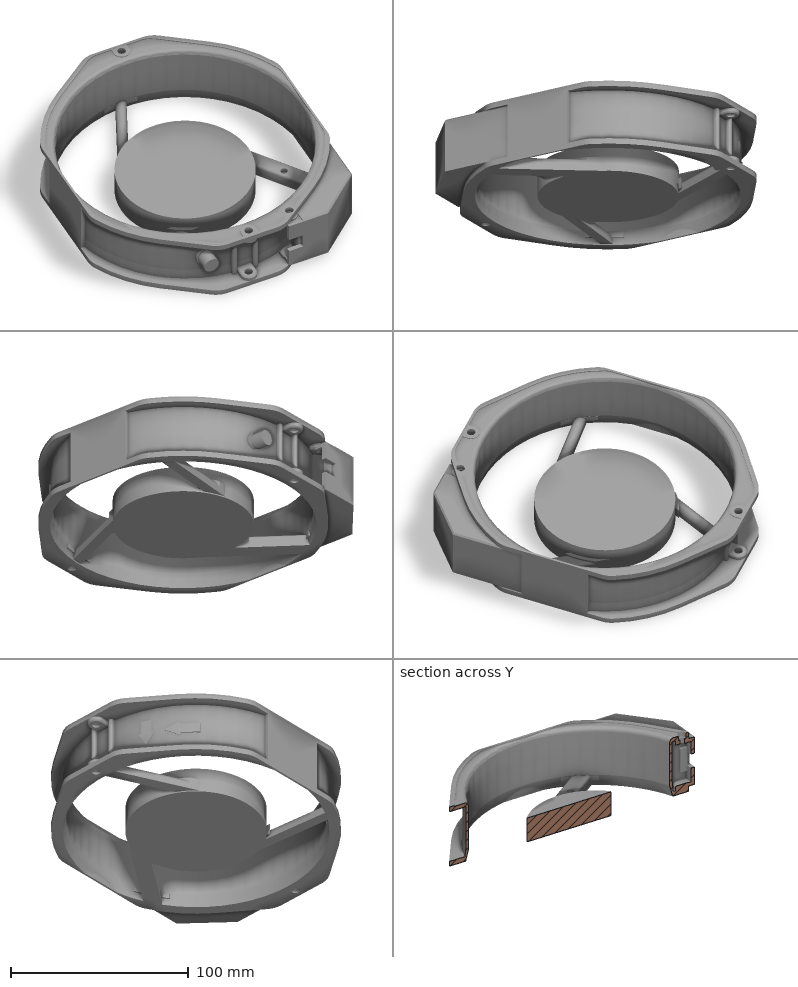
import cadquery as cq
import math

LENGTH = 172.0
WIDTH = 150.0
HEIGHT = 38.0
FLANGE_THICK = 3.3
SHOULDER_RADIUS = 81.5
SHOULDER_ANGLE = 36.0
CORNER_RADIUS = 15.0
TOP_FLANGE_Z = HEIGHT - FLANGE_THICK

BARREL_RADIUS = 75.0
BARREL_FOOT_RADIUS = 75.7
BARREL_FOOT_Z = 9.5
BORE_RADIUS = 73.1
LEAD_IN = 2.5
FLARE_RADIUS = 75.0
FLARE_Z = 7.4
SIDE_PAD_WIDTH = 39.9

RECESS_LENGTH = 168.9
RECESS_WIDTH = 147.5
RECESS_SHOULDER = 78.8
RECESS_CORNER = 13.5
RECESS_DEPTH = 0.5

SCREW_X = 81.2
SCREW_RADIUS = 2.4
BOSS_RADIUS = 4.8
BOSS_HEIGHT = 2.8
BOSS_CHAMFER = 0.7
RIB_RADIUS = 1.5
RIB_X = 76.2
RIB_Y = 6.5

GROUND_X = 76.2
GROUND_Y = 27.9
PILOT_RADIUS = 1.4

HUB_RADIUS = 39.7
HUB_HEIGHT = 15.5
COLLAR_RADIUS = 41.8
COLLAR_UNDERSIDE_Z = 2.0
COLLAR_TOP_Z = 8.3
SPOKE_ANGLE = 35.5
SPOKE_OFFSET = 34.2
SPOKE_HEIGHT = 7.2
WALL_OVERLAP = 0.2
SPOKE_REACH = FLARE_RADIUS + WALL_OVERLAP
ROD_WIDTH = 6.4
ROD_UNDERSIDE_Z = 0.7
CHANNEL_WIDTH = 10.0
CHANNEL_ROUND = 1.5
CHANNEL_HOLE_RADIUS = 2.0
CHANNEL_HOLE_ALONG = 45.4
CHANNEL_HOLE_SIDE = 1.2
CHANNEL_HOLE_DEPTH = 2.5
SPOKE_PAD_WIDTH = 19.0
SPOKE_PAD_UNDERSIDE_Z = 3.8
SPOKE_PAD_TOP_Z = 6.9

BOX_X = 84.5
BOX_Y = 74.1
BOX_BEVEL_X = 62.0
BOX_BEVEL_Y = 48.2
BOX_FRONT_Y = 32.5
BOX_CHAMFER = 0.9
CHEEK_FRONT_Y = 23.7
CHEEK_THICK = 2.5
CHEEK_GAP = 8.6
LEDGE_DROP = 0.9
LEDGE_THICK = 2.5

GLAND_RADIUS = 4.5
GLAND_ROOT_RADIUS = 5.3
GLAND_ROOT_END = 71.5
GLAND_END = 79.6
GLAND_Y = -22.4
GLAND_Z = 19.0
PLATE_INNER_X = 77.2
PLATE_HEIGHT = 15.1
PLATE_THICK = 1.7

ARROW_RAISE = 0.5
ARROW_SHAFT = 5.8
ARROW_HEAD = 9.1
ARROW_HEAD_LENGTH = 7.9
ARROW_LENGTH = 16.2
AIRFLOW_TIP_Y = -28.0
AIRFLOW_TIP_Z = 11.0
ROTATION_TIP_Y = -37.5
ROTATION_TIP_Z = 19.0


def cylinder(radius, z_low, z_high, x=0.0, y=0.0):
    return cq.Workplane("XY", origin=(x, y, z_low)).circle(radius).extrude(z_high - z_low)


def block(x_low, x_high, y_low, y_high, z_low, z_high):
    size = (x_high - x_low, y_high - y_low, z_high - z_low)
    return cq.Workplane("XY", origin=(x_low, y_low, z_low)).box(*size, centered=False)


def outline_prism(length, width, shoulder, corner, z_low, z_high):
    """Oval octagon: flat sides, tangent slopes and round shoulders, with rounded corners."""
    half_x = length / 2
    half_y = width / 2
    tangent = math.radians(SHOULDER_ANGLE)
    corner_y = (shoulder - half_x * math.cos(tangent)) / math.sin(tangent)
    tangent_x = shoulder * math.cos(tangent)
    tangent_y = shoulder * math.sin(tangent)
    flat_x = math.sqrt(shoulder**2 - half_y**2)
    middle = (tangent + math.asin(half_y / shoulder)) / 2
    middle_x = shoulder * math.cos(middle)
    middle_y = shoulder * math.sin(middle)
    profile = (
        cq.Workplane("XY", origin=(0, 0, z_low))
        .moveTo(half_x, -corner_y)
        .lineTo(half_x, corner_y)
        .lineTo(tangent_x, tangent_y)
        .threePointArc((middle_x, middle_y), (flat_x, half_y))
        .lineTo(-flat_x, half_y)
        .threePointArc((-middle_x, middle_y), (-tangent_x, tangent_y))
        .lineTo(-half_x, corner_y)
        .lineTo(-half_x, -corner_y)
        .lineTo(-tangent_x, -tangent_y)
        .threePointArc((-middle_x, -middle_y), (-flat_x, -half_y))
        .lineTo(flat_x, -half_y)
        .threePointArc((middle_x, -middle_y), (tangent_x, -tangent_y))
        .close()
    )
    prism = profile.extrude(z_high - z_low)
    corners = [(sx * half_x, sy * corner_y) for sx in (-1, 1) for sy in (-1, 1)]
    corners += [(sx * flat_x, sy * half_y) for sx in (-1, 1) for sy in (-1, 1)]
    middle_z = (z_low + z_high) / 2
    for x, y in corners:
        nearest = cq.selectors.NearestToPointSelector((x, y, middle_z))
        prism = prism.edges("|Z").edges(nearest).fillet(corner)
    return prism


def frame_prism(z_low, z_high):
    return outline_prism(LENGTH, WIDTH, SHOULDER_RADIUS, CORNER_RADIUS, z_low, z_high)


def recess_prism(z_low, z_high):
    return outline_prism(RECESS_LENGTH, RECESS_WIDTH, RECESS_SHOULDER, RECESS_CORNER, z_low, z_high)


def make_barrel():
    return (
        cq.Workplane("XZ")
        .lineTo(BARREL_FOOT_RADIUS, 0)
        .lineTo(BARREL_FOOT_RADIUS, FLANGE_THICK)
        .lineTo(BARREL_RADIUS, BARREL_FOOT_Z)
        .lineTo(BARREL_RADIUS, HEIGHT)
        .lineTo(0, HEIGHT)
        .close()
        .revolve(360, (0, 0, 0), (0, 1, 0))
    )


def make_bore():
    """Bore with a rounded mouth on top and a conical mouth below, kept inside the flat sides."""
    mouth_z = HEIGHT - RECESS_DEPTH
    bend = LEAD_IN * (1 - math.sqrt(0.5))
    bore = (
        cq.Workplane("XZ")
        .lineTo(FLARE_RADIUS, 0)
        .lineTo(BORE_RADIUS, FLARE_Z)
        .lineTo(BORE_RADIUS, mouth_z - LEAD_IN)
        .threePointArc(
            (BORE_RADIUS + bend, mouth_z - bend),
            (BORE_RADIUS + LEAD_IN, mouth_z),
        )
        .lineTo(BORE_RADIUS + LEAD_IN, HEIGHT)
        .lineTo(0, HEIGHT)
        .close()
        .revolve(360, (0, 0, 0), (0, 1, 0))
    )
    return bore.intersect(recess_prism(0, HEIGHT))


def make_side_pads():
    half = SIDE_PAD_WIDTH / 2
    return block(-half, half, -WIDTH / 2, WIDTH / 2, 0, HEIGHT)


def make_boss(x, y, pointing_down):
    """Round boss on the inner face of one flange, reaching back to the barrel."""
    low = TOP_FLANGE_Z - BOSS_HEIGHT if pointing_down else FLANGE_THICK
    high = low + BOSS_HEIGHT
    free_face = "<Z" if pointing_down else ">Z"
    web = block(BORE_RADIUS, x, y - BOSS_RADIUS, y + BOSS_RADIUS, low, high)
    boss = cylinder(BOSS_RADIUS, low, high, x, y).union(web)
    return boss.faces(free_face).chamfer(BOSS_CHAMFER)


def make_screw_ribs():
    """Round-nosed upright ribs either side of the +X mounting screw."""
    ribs = cq.Workplane("XY")
    for y in (-RIB_Y, RIB_Y):
        web = block(BORE_RADIUS, RIB_X, y - RIB_RADIUS, y + RIB_RADIUS, 0, HEIGHT - LEAD_IN)
        ribs = ribs.union(web).union(cylinder(RIB_RADIUS, 0, HEIGHT - LEAD_IN, RIB_X, y))
    return ribs


def make_screw_mount():
    mount = make_screw_ribs()
    for pointing_down in (False, True):
        mount = mount.union(make_boss(SCREW_X, 0, pointing_down))
    return mount


def make_top_recess():
    """Shallow recess leaving a rim and a raised pad around each mounting screw."""
    recess = recess_prism(HEIGHT - RECESS_DEPTH, HEIGHT)
    for side in (-1, 1):
        inner, outer = sorted((side * SCREW_X, side * LENGTH / 2))
        pad = block(inner, outer, -BOSS_RADIUS, BOSS_RADIUS, 0, HEIGHT)
        recess = recess.cut(pad).cut(cylinder(BOSS_RADIUS, 0, HEIGHT, side * SCREW_X))
    return recess


def make_terminal_box():
    box = (
        cq.Workplane("XY", origin=(0, 0, FLANGE_THICK))
        .moveTo(0, BOX_Y)
        .lineTo(BOX_BEVEL_X, BOX_Y)
        .lineTo(BOX_X, BOX_BEVEL_Y)
        .lineTo(BOX_X, BOX_FRONT_Y)
        .lineTo(0, BOX_FRONT_Y)
        .close()
        .extrude(TOP_FLANGE_Z - FLANGE_THICK)
    )
    box = box.faces(">Z").edges("not(<X or <Y)").chamfer(BOX_CHAMFER)
    ledge_top = TOP_FLANGE_Z - LEDGE_DROP
    cheek_x = BOX_X - CHEEK_THICK
    cheek = block(cheek_x, BOX_X, CHEEK_FRONT_Y, BOX_FRONT_Y, FLANGE_THICK, ledge_top)
    gap_low = GLAND_Z - CHEEK_GAP / 2
    gap_high = GLAND_Z + CHEEK_GAP / 2
    gap = block(cheek_x, BOX_X, CHEEK_FRONT_Y, BOX_FRONT_Y, gap_low, gap_high)
    plate = block(
        PLATE_INNER_X,
        cheek_x,
        BOX_FRONT_Y - PLATE_THICK,
        BOX_FRONT_Y,
        GLAND_Z - PLATE_HEIGHT / 2,
        GLAND_Z + PLATE_HEIGHT / 2,
    )
    box = box.union(cheek.cut(gap)).union(plate)
    for ledge_low in (FLANGE_THICK, ledge_top - LEDGE_THICK):
        ledge = block(
            GROUND_X, BOX_X, CHEEK_FRONT_Y, BOX_FRONT_Y, ledge_low, ledge_low + LEDGE_THICK
        )
        box = box.union(ledge)
    return box


def make_cable_gland():
    """Cable tube leaving the barrel along +X."""
    across = cq.Workplane("YZ", origin=(BORE_RADIUS - GLAND_RADIUS, GLAND_Y, GLAND_Z))
    root = across.circle(GLAND_ROOT_RADIUS).extrude(GLAND_ROOT_END - BORE_RADIUS + GLAND_RADIUS)
    tube = across.circle(GLAND_RADIUS).extrude(GLAND_END - BORE_RADIUS + GLAND_RADIUS)
    return root.union(tube)


def make_arrow(tip_y, tip_z, turn):
    """Raised arrow on the -X side of the barrel; at turn 0 it points toward +Y."""
    half_shaft = ARROW_SHAFT / 2
    half_head = ARROW_HEAD / 2
    prism = (
        cq.Workplane("YZ")
        .lineTo(-ARROW_HEAD_LENGTH, half_head)
        .lineTo(-ARROW_HEAD_LENGTH, half_shaft)
        .lineTo(-ARROW_LENGTH, half_shaft)
        .lineTo(-ARROW_LENGTH, -half_shaft)
        .lineTo(-ARROW_HEAD_LENGTH, -half_shaft)
        .lineTo(-ARROW_HEAD_LENGTH, -half_head)
        .close()
        .extrude(-LENGTH / 2)
        .rotate((0, 0, 0), (1, 0, 0), turn)
        .translate((0, tip_y, tip_z))
    )
    return prism.intersect(cylinder(BARREL_RADIUS + ARROW_RAISE, 0, HEIGHT))


def make_rod():
    """Round-topped spoke lying along +X at its offset from the hub axis."""
    half = ROD_WIDTH / 2
    return (
        cq.Workplane("YZ", origin=(0, SPOKE_OFFSET, 0))
        .moveTo(-half, ROD_UNDERSIDE_Z)
        .lineTo(-half, SPOKE_HEIGHT - half)
        .threePointArc((0, SPOKE_HEIGHT), (half, SPOKE_HEIGHT - half))
        .lineTo(half, ROD_UNDERSIDE_Z)
        .close()
        .extrude(LENGTH / 2)
    )


def make_channel():
    """Wide cable spoke lying along +X, with a blind hole in its top."""
    half = CHANNEL_WIDTH / 2
    channel = block(0, LENGTH / 2, SPOKE_OFFSET - half, SPOKE_OFFSET + half, 0, SPOKE_HEIGHT)
    channel = channel.edges(">Z and |X").fillet(CHANNEL_ROUND)
    hole = cylinder(
        CHANNEL_HOLE_RADIUS,
        SPOKE_HEIGHT - CHANNEL_HOLE_DEPTH,
        SPOKE_HEIGHT,
        CHANNEL_HOLE_ALONG,
        SPOKE_OFFSET - CHANNEL_HOLE_SIDE,
    )
    return channel.cut(hole)


def make_spoke(body, width):
    """Spoke with its collar at the hub and the bore pad where it meets the barrel."""
    collar_low_y = SPOKE_OFFSET - CHANNEL_WIDTH / 2
    collar_high_y = SPOKE_OFFSET + width / 2
    collar_band = block(0, LENGTH / 2, collar_low_y, collar_high_y, COLLAR_UNDERSIDE_Z, COLLAR_TOP_Z)
    collar = cylinder(COLLAR_RADIUS, COLLAR_UNDERSIDE_Z, COLLAR_TOP_Z).intersect(collar_band)
    half_pad = SPOKE_PAD_WIDTH / 2
    pad_low_y = SPOKE_OFFSET - half_pad
    pad_high_y = SPOKE_OFFSET + half_pad
    pad_band = block(0, LENGTH / 2, pad_low_y, pad_high_y, SPOKE_PAD_UNDERSIDE_Z, SPOKE_PAD_TOP_Z)
    rim = cylinder(SPOKE_REACH, 0, SPOKE_HEIGHT).cut(cylinder(BORE_RADIUS, 0, SPOKE_HEIGHT))
    trimmed = body.intersect(cylinder(SPOKE_REACH, 0, HEIGHT))
    return trimmed.union(collar).union(rim.intersect(pad_band))


def make_hub_and_spokes():
    hub = cylinder(HUB_RADIUS, 0, HUB_HEIGHT)
    bodies = [(make_channel(), CHANNEL_WIDTH), (make_rod(), ROD_WIDTH), (make_rod(), ROD_WIDTH)]
    for number, (body, width) in enumerate(bodies):
        angle = SPOKE_ANGLE + number * 360 / len(bodies)
        hub = hub.union(make_spoke(body, width).rotate((0, 0, 0), (0, 0, 1), angle))
    return hub


envelope = frame_prism(0, HEIGHT)
flanges = envelope.cut(frame_prism(FLANGE_THICK, TOP_FLANGE_Z))
frame = make_barrel().union(make_side_pads()).intersect(envelope).union(flanges)

frame = frame.union(make_terminal_box()).union(make_cable_gland())
screw_mount = make_screw_mount()
frame = frame.union(screw_mount.intersect(envelope))
frame = frame.union(screw_mount.mirror("YZ").intersect(envelope))
for downward in (False, True):
    frame = frame.union(make_boss(GROUND_X, GROUND_Y, downward))
frame = frame.union(make_arrow(AIRFLOW_TIP_Y, AIRFLOW_TIP_Z, -90))
frame = frame.union(make_arrow(ROTATION_TIP_Y, ROTATION_TIP_Z, 0))

frame = frame.cut(make_bore()).cut(make_top_recess())
for screw_x in (-SCREW_X, SCREW_X):
    frame = frame.cut(cylinder(SCREW_RADIUS, 0, HEIGHT, screw_x))
frame = frame.cut(cylinder(SCREW_RADIUS, TOP_FLANGE_Z, HEIGHT, GROUND_X, GROUND_Y))
frame = frame.cut(cylinder(PILOT_RADIUS, HEIGHT / 2, HEIGHT, GROUND_X, GROUND_Y))

result = frame.union(make_hub_and_spokes())